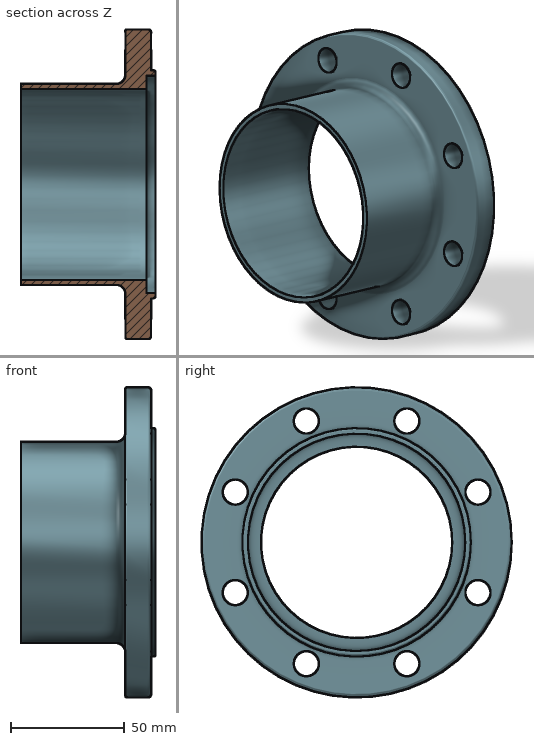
import cadquery as cq

flange_diameter = 137.0
tube_diameter = 88.9
bore_diameter = 84.3
raised_face_diameter = 100.8

total_length = 59.5
flange_thickness = 11.5
raised_face_height = 1.9
neck_fillet = 4.0
back_edge_radius = 1.0
front_edge_radius = 1.5
face_edge_radius = 1.0
recess_diameter = 95.9
recess_depth = 4.0

bolt_count = 8
bolt_circle_diameter = 115.9
bolt_hole_diameter = 11.0
first_bolt_angle = 180 / bolt_count

tube_end = -total_length / 2
face_end = total_length / 2
flange_front = face_end - raised_face_height
flange_back = flange_front - flange_thickness


def disc(start, end, diameter):
    """Solid cylinder along X between two positions."""
    return cq.Workplane("YZ", origin=(start, 0, 0)).circle(diameter / 2).extrude(end - start)


def bolt_holes():
    """Ring of through holes for the flange."""
    return (
        cq.Workplane("YZ", origin=(flange_back, 0, 0))
        .polarArray(bolt_circle_diameter / 2, first_bolt_angle, 360, bolt_count)
        .circle(bolt_hole_diameter / 2)
        .extrude(flange_thickness)
    )


def neck_fillet_ring():
    """Concave ring blending the tube into the back of the flange."""
    tube_radius = tube_diameter / 2
    inside_radius = bore_diameter / 2
    diagonal = neck_fillet * (1 - 0.5 ** 0.5)
    return (
        cq.Workplane("XY")
        .moveTo(flange_back - neck_fillet, inside_radius)
        .lineTo(flange_back - neck_fillet, tube_radius)
        .threePointArc(
            (flange_back - diagonal, tube_radius + diagonal),
            (flange_back, tube_radius + neck_fillet),
        )
        .lineTo(flange_back, inside_radius)
        .close()
        .revolve(360, (0, 0, 0), (1, 0, 0))
    )


flange = disc(flange_back, flange_front, flange_diameter)
flange = flange.edges("<X").fillet(back_edge_radius).edges(">X").fillet(front_edge_radius)
raised_face = disc(flange_front, face_end, raised_face_diameter).edges(">X").fillet(face_edge_radius)
tube = disc(tube_end, flange_back, tube_diameter)
bore = disc(tube_end, face_end, bore_diameter)
face_recess = disc(face_end - recess_depth, face_end, recess_diameter)

body = flange.union(raised_face).union(tube).union(neck_fillet_ring())
result = body.cut(bore).cut(face_recess).cut(bolt_holes())